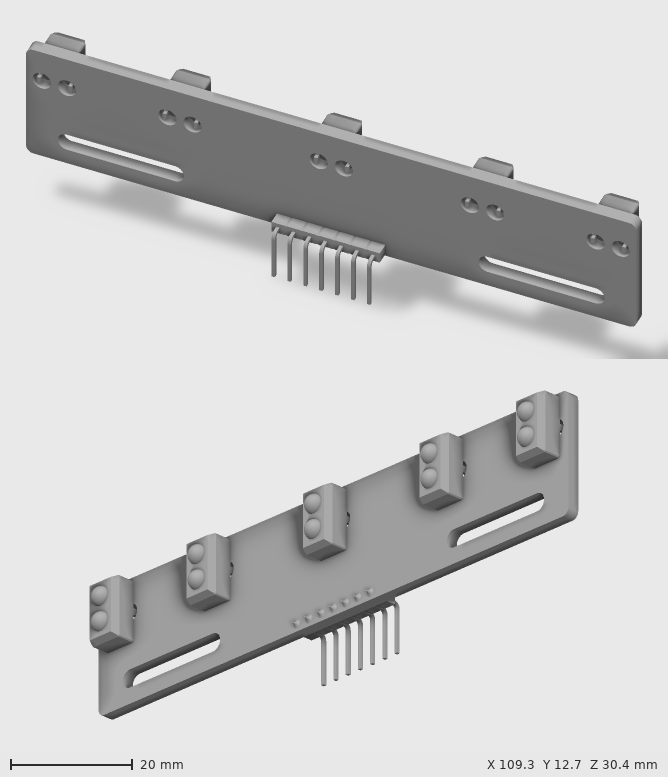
import cadquery as cq
import math

BOARD_LENGTH = 109.33
BOARD_HEIGHT = 22.75
BOARD_THICKNESS = 2.3
BOARD_CORNER_RADIUS = 1.3

SLOT_LENGTH = 22.6
SLOT_WIDTH = 3.3
SLOT_OFFSET_X = 37.7
SLOT_HEIGHT_Z = 4.6

SENSOR_POSITIONS_X = (-49.6, -27.1, 0.0, 27.1, 49.6)
SENSOR_DROP = 6.25
SENSOR_HEIGHT_Z = BOARD_HEIGHT - SENSOR_DROP
HOLE_DIAMETER = 3.3
HOLE_SPACING = 4.5
BODY_WIDTH = 6.2
BODY_HEIGHT = 11.2
BODY_DEPTH = 3.3
BODY_EDGE_CHAMFER = 0.2
LID_INSET = 0.65
LID_DEPTH = 1.35
LENS_DIAMETER = 3.5
LENS_SPACING = 4.6
LENS_TIP_Y = 8.43
CLIP_WIDTH = 0.6
CLIP_HEIGHT = 1.2
CLIP_LENGTH = BOARD_THICKNESS

PIN_COUNT = 7
PIN_PITCH = 2.85
PIN_SIZE = 0.6
PIN_HEIGHT_Z = 1.35
PIN_FRONT_Y = -4.25
OVERALL_HEIGHT = 30.43
PIN_BOTTOM_Z = BOARD_HEIGHT - OVERALL_HEIGHT
PIN_BEND_RADIUS = 1.3
HEADER_LENGTH = 19.4
HEADER_DEPTH = 2.3
HEADER_HEIGHT = 2.05
GROOVE_WIDTH = 0.6
GROOVE_DEPTH = 0.1
SOLDER_DIAMETER = 1.6
SOLDER_HEIGHT = 1.0
SOLDER_TIP_DIAMETER = 0.3
SOLDER_ARC_RADIUS = 1.0

BODY_FRONT_Y = BOARD_THICKNESS + BODY_DEPTH
LID_FRONT_Y = BODY_FRONT_Y + LID_DEPTH
HEADER_BOTTOM_Z = PIN_HEIGHT_Z - HEADER_HEIGHT / 2
HEADER_TOP_Z = PIN_HEIGHT_Z + HEADER_HEIGHT / 2


def rear_facing_plane(x, y, z):
    """Workplane facing +Y, with local x along -X and local y along Z."""
    return cq.Workplane(cq.Plane(origin=(x, y, z), xDir=(-1, 0, 0), normal=(0, 1, 0)))


def make_board():
    """Rounded board with two mounting slots and a pair of holes in front of each sensor."""
    blank = rear_facing_plane(0, 0, BOARD_HEIGHT / 2).rect(BOARD_LENGTH, BOARD_HEIGHT)
    board = blank.extrude(BOARD_THICKNESS).edges("|Y").fillet(BOARD_CORNER_RADIUS)
    slots = (
        rear_facing_plane(0, 0, SLOT_HEIGHT_Z)
        .pushPoints([(-SLOT_OFFSET_X, 0), (SLOT_OFFSET_X, 0)])
        .slot2D(SLOT_LENGTH, SLOT_WIDTH)
        .extrude(BOARD_THICKNESS)
    )
    hole_points = [(-x + side * HOLE_SPACING / 2, 0) for x in SENSOR_POSITIONS_X for side in (-1, 1)]
    holes = (
        rear_facing_plane(0, 0, SENSOR_HEIGHT_Z)
        .pushPoints(hole_points)
        .circle(HOLE_DIAMETER / 2)
        .extrude(BOARD_THICKNESS)
    )
    return board.cut(slots).cut(holes)


def make_lens(x, z):
    """Spherical cap whose flat side sits on the lid of a sensor."""
    rise = LENS_TIP_Y - LID_FRONT_Y
    base_radius = LENS_DIAMETER / 2
    sphere_radius = (base_radius**2 + rise**2) / (2 * rise)
    sphere_center_y = LENS_TIP_Y - sphere_radius
    sphere = cq.Workplane("XY").sphere(sphere_radius).translate((x, sphere_center_y, z))
    keep = rear_facing_plane(x, LID_FRONT_Y, z).rect(2 * LENS_DIAMETER, 2 * LENS_DIAMETER).extrude(2 * rise)
    return sphere.intersect(keep)


def make_sensor(x):
    """Sensor housing with tapered lid, two lenses and two clips reaching into the board holes."""
    body = rear_facing_plane(x, BOARD_THICKNESS, SENSOR_HEIGHT_Z).rect(BODY_WIDTH, BODY_HEIGHT)
    body = body.extrude(BODY_DEPTH).edges("|Y").chamfer(BODY_EDGE_CHAMFER)
    taper = math.degrees(math.atan2(LID_INSET, LID_DEPTH))
    lid = body.faces(">Y").wires().toPending().extrude(LID_DEPTH, taper=taper, combine=False)
    sensor = body.union(lid)
    for side in (-1, 1):
        sensor = sensor.union(make_lens(x, SENSOR_HEIGHT_Z + side * LENS_SPACING / 2))
        clip_x = x + side * (BODY_WIDTH - CLIP_WIDTH) / 2
        clip = rear_facing_plane(clip_x, BOARD_THICKNESS, SENSOR_HEIGHT_Z)
        sensor = sensor.union(clip.rect(CLIP_WIDTH, CLIP_HEIGHT).extrude(-CLIP_LENGTH))
    return sensor


def make_header():
    """Header strip with V grooves between the pins, along its top and bottom faces."""
    header = rear_facing_plane(0, 0, PIN_HEIGHT_Z).rect(HEADER_LENGTH, HEADER_HEIGHT).extrude(-HEADER_DEPTH)
    for index in range(PIN_COUNT - 1):
        groove_x = (index - (PIN_COUNT - 2) / 2) * PIN_PITCH
        for edge_z, inward in ((HEADER_TOP_Z, -1), (HEADER_BOTTOM_Z, 1)):
            groove = (
                rear_facing_plane(groove_x, 0, edge_z)
                .moveTo(-GROOVE_WIDTH / 2, 0)
                .lineTo(GROOVE_WIDTH / 2, 0)
                .lineTo(0, inward * GROOVE_DEPTH)
                .close()
                .extrude(-HEADER_DEPTH)
            )
            header = header.cut(groove)
    return header


def make_pin(x):
    """Square bent pin ending at the rear of the board under a concave, pointed solder joint."""
    top_z = PIN_HEIGHT_Z + PIN_SIZE / 2
    inner_radius = PIN_BEND_RADIUS - PIN_SIZE
    pin = (
        cq.Workplane("YZ", origin=(x - PIN_SIZE / 2, 0, 0))
        .moveTo(BOARD_THICKNESS, top_z)
        .lineTo(PIN_FRONT_Y + PIN_BEND_RADIUS, top_z)
        .radiusArc((PIN_FRONT_Y, top_z - PIN_BEND_RADIUS), -PIN_BEND_RADIUS)
        .lineTo(PIN_FRONT_Y, PIN_BOTTOM_Z)
        .lineTo(PIN_FRONT_Y + PIN_SIZE, PIN_BOTTOM_Z)
        .lineTo(PIN_FRONT_Y + PIN_SIZE, top_z - PIN_BEND_RADIUS)
        .radiusArc((PIN_FRONT_Y + PIN_BEND_RADIUS, top_z - PIN_SIZE), inner_radius)
        .lineTo(BOARD_THICKNESS, top_z - PIN_SIZE)
        .close()
        .extrude(PIN_SIZE)
    )
    solder = (
        cq.Workplane("XY", origin=(x, BOARD_THICKNESS, PIN_HEIGHT_Z))
        .lineTo(SOLDER_DIAMETER / 2, 0)
        .radiusArc((SOLDER_TIP_DIAMETER / 2, SOLDER_HEIGHT), SOLDER_ARC_RADIUS)
        .lineTo(0, SOLDER_HEIGHT)
        .close()
        .revolve(360, (0, 0, 0), (0, 1, 0))
    )
    return pin.union(solder)


result = make_board().union(make_header())
for sensor_x in SENSOR_POSITIONS_X:
    result = result.union(make_sensor(sensor_x))
for pin_index in range(PIN_COUNT):
    result = result.union(make_pin((pin_index - (PIN_COUNT - 1) / 2) * PIN_PITCH))